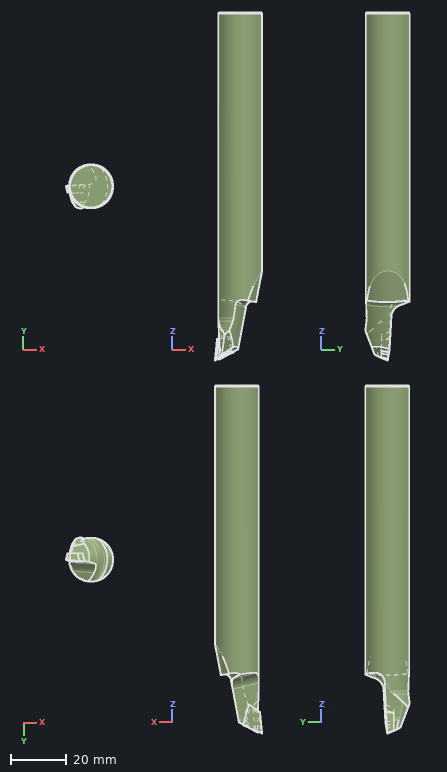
import cadquery as cq
import math

LENGTH = 126.0
SHANK_R = 16.0 / 2
TOP_CHAMFER = 0.4
BIG = 37.8

FLARE_Z = 14.9
FLARE_SLOPE = 0.25
FLARE_BLEND_R = 4.7

RAKE_TURN = 0.06
RAKE_DROP = 0.24
RAKE_Y = 0.6
RAKE_LEAN = 0.045
RAKE_HEIGHT = 19.2
RAKE_LEDGE_SLOPE = 0.22
RAKE_FILLET_R = 4.0

BACK_LEAN = 0.19
UPPER_BACK_X = 1.6
UPPER_BACK_R = 10.7
LOWER_BACK_X = -1.6
LOWER_BACK_R = 9.7
BACK_LEDGE_Z = 24.0
BACK_BLEND_R = 2.1

SIDE_R = 13.9
SIDE_Y = -0.6
SIDE_TOP_Z = 17.3
SIDE_BREAK_Z = 5.7
SIDE_SLOPE = 0.03

CORNER_ANGLE = 30.0
CORNER_LEAN = 0.07
CORNER_POINT = (-6.4, -6.2, 9.7)
FRONT_ANGLE = 21.0
FRONT_POINT = (0.0, -7.7, 9.7)

END_NORMAL = (0.58, -0.28, -1.0)
END_POINT = (-6.8, -2.3, 1.4)

INSERT_FLOOR_Y = -2.3
INSERT_BLANK_Y = 1.0
INSERT_CLEARANCE = 13.0
INSERT_CORNERS = [(-9.5, -0.4), (-8.6, 7.8), (-4.3, 10.6), (-2.1, 2.9)]


def beyond_plane(point, normal):
    """Block filling the space on the normal's side of a plane."""
    plane = cq.Plane(origin=point, normal=normal)
    return cq.Workplane(plane).rect(BIG, BIG).extrude(BIG)


def round_blank():
    """Shank with its chamfered top and the flared head below it."""
    flare_r = SHANK_R + FLARE_SLOPE * FLARE_Z
    profile = [(0, 0), (flare_r, 0), (SHANK_R, FLARE_Z), (SHANK_R, LENGTH), (0, LENGTH)]
    blank = cq.Workplane("XZ").polyline(profile).close().revolve(360, (0, 0), (0, 1))
    blank = blank.faces(">Z").edges().chamfer(TOP_CHAMFER)
    waist = cq.NearestToPointSelector((0, 0, FLARE_Z))
    return blank.edges("%CIRCLE").edges(waist).fillet(FLARE_BLEND_R)


def rake_cut():
    """Wedge of space with a nearly upright rake face, a sloping ledge and a fillet."""
    plane = cq.Plane(origin=(0, RAKE_Y, 0), xDir=(-RAKE_TURN, 1, 0), normal=(1, RAKE_TURN, -RAKE_DROP))
    corner = (RAKE_LEAN * RAKE_HEIGHT, RAKE_HEIGHT)
    profile = [
        (-RAKE_LEAN * BIG, -BIG),
        corner,
        (BIG, RAKE_HEIGHT + RAKE_LEDGE_SLOPE * (BIG - corner[0])),
        (BIG, -BIG),
    ]
    wedge = cq.Workplane(plane).polyline(profile).close().extrude(BIG, both=True)
    corner_point = plane.toWorldCoords(corner)
    return wedge.edges(cq.NearestToPointSelector(corner_point.toTuple())).fillet(RAKE_FILLET_R)


def around_leaning_back(back_x, back_r, top):
    """Ring of space around a leaning round back, up to a ledge square to its axis."""
    plane = cq.Plane(origin=(back_x - back_r, 0, 0), xDir=(1, 0, -BACK_LEAN), normal=(0, -1, 0))
    section = [(back_r, -BIG), (back_r, top), (BIG, top), (BIG, -BIG)]
    return cq.Workplane(plane).polyline(section).close().revolve(360, (0, 0), (0, 1))


def lower_back_cut():
    """Lower back relief with a fillet where the back runs into its ledge."""
    cut = around_leaning_back(LOWER_BACK_X, LOWER_BACK_R, BACK_LEDGE_Z)
    inner_rims = cut.edges(cq.selectors.RadiusNthSelector(0))
    return inner_rims.edges(">Z").fillet(BACK_BLEND_R)


def leaning_post(start_z, end_z, shift):
    """Round post of the side-relief radius that shifts along X as it rises."""
    center = cq.Vector(SIDE_R - SHANK_R + SIDE_SLOPE * (SIDE_TOP_Z - start_z), SIDE_Y, start_z)
    circle = cq.Wire.makeCircle(SIDE_R, center, cq.Vector(0, 0, 1))
    return cq.Solid.extrudeLinear(circle, [], cq.Vector(shift, 0, end_z - start_z))


def relieve_side(body):
    """Keep only what lies inside the leaning and the straight part of the side arc."""
    upper = leaning_post(SIDE_BREAK_Z, LENGTH, -SIDE_SLOPE * (LENGTH - SIDE_BREAK_Z))
    lower = leaning_post(SIDE_BREAK_Z, -BIG, 0)
    return body.intersect(cq.Workplane(upper).union(cq.Workplane(lower)))


def insert_prism():
    """The plate before its top is trimmed, with all four sides tapering to its floor."""
    return (
        cq.Workplane("XZ", origin=(0, INSERT_BLANK_Y, 0))
        .polyline(INSERT_CORNERS)
        .close()
        .extrude(INSERT_BLANK_Y - INSERT_FLOOR_Y, taper=INSERT_CLEARANCE)
    )


def corner_relief():
    """Flat between the side relief and the front flat, leaning in towards the tip."""
    angle = math.radians(CORNER_ANGLE)
    return beyond_plane(CORNER_POINT, (-math.cos(angle), -math.sin(angle), -CORNER_LEAN))


def front_relief():
    """Flat on the -Y face, leaning in towards the tip."""
    angle = math.radians(FRONT_ANGLE)
    return beyond_plane(FRONT_POINT, (0, -math.cos(angle), -math.sin(angle)))


bar = round_blank()
bar = relieve_side(bar)
bar = bar.cut(around_leaning_back(UPPER_BACK_X, UPPER_BACK_R, BIG))
bar = bar.cut(lower_back_cut())
bar = bar.cut(corner_relief())
bar = bar.cut(front_relief())
bar = bar.cut(beyond_plane(END_POINT, END_NORMAL))
bar = bar.cut(insert_prism())
bar = bar.cut(rake_cut())

insert = insert_prism().cut(rake_cut())

result = cq.Compound.makeCompound([bar.val(), insert.val()])